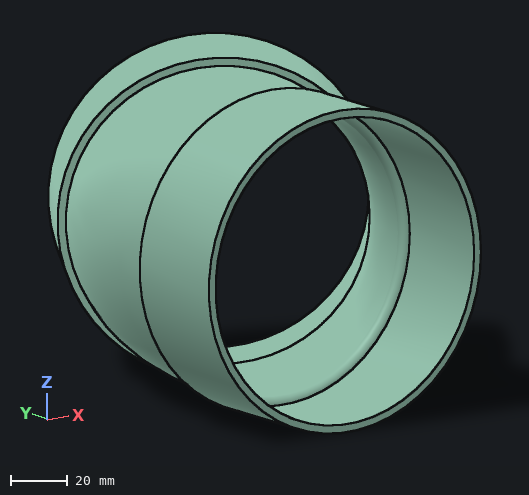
import cadquery as cq
import math

socket_diameter = 116.0
pipe_diameter = 110.0
bend_bore_diameter = 104.1
overall_length = 164.2
bend_angle = 30.0
bend_radius = 110.0

angle = math.radians(bend_angle)
tilted_reach = (bend_radius + socket_diameter / 2) * math.sin(angle)
socket_length = (overall_length - tilted_reach) / (1 + math.cos(angle))

shoulder_radius = (pipe_diameter - bend_bore_diameter) / 2


def bend(diameter):
    """Solid bend starting at the origin along +Y and turning towards +X."""
    profile = cq.Workplane("XZ").circle(diameter / 2)
    return profile.revolve(bend_angle, (bend_radius, 1.6, 0), (bend_radius, 0, 0))


def socket():
    """Socket with its mouth on -Y and its inner end at the origin."""
    outer = socket_diameter / 2
    bore = pipe_diameter / 2
    throat = bend_bore_diameter / 2
    arc_middle = (
        bore - shoulder_radius * math.cos(math.pi / 4),
        -shoulder_radius * math.sin(math.pi / 4),
    )
    return (
        cq.Workplane("XY")
        .moveTo(outer, 0)
        .lineTo(outer, -socket_length)
        .lineTo(bore, -socket_length)
        .lineTo(bore, -shoulder_radius)
        .threePointArc(arc_middle, (throat, 0))
        .close()
        .revolve(360, (0, 0, 0), (0, 1, 0))
    )


def far_end(body):
    """Turn a socket at the start of the bend round to the other end."""
    pivot = (bend_radius, 0, 0)
    mirrored = body.mirror("XZ")
    return mirrored.rotate(pivot, (bend_radius, 0, 1), -bend_angle)


shell = bend(pipe_diameter).cut(bend(bend_bore_diameter))
near_socket = socket()
result = shell.union(near_socket).union(far_end(near_socket))